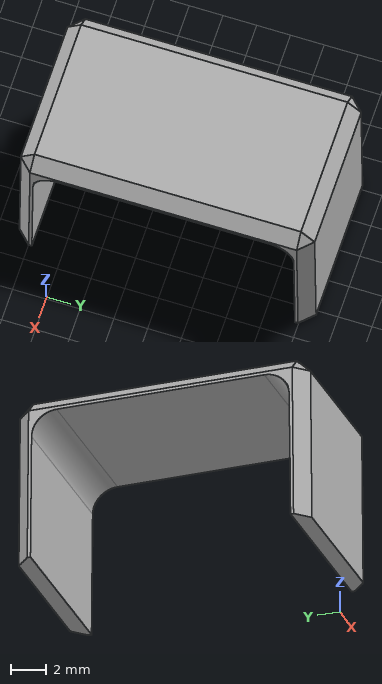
import cadquery as cq
import math

width = 10.16
length = 17.58
height = 10.1

wall = 1.0
draft_angle = 0.5
chamfer = 0.8
inner_radius = 1.5

draft_shift = height * math.tan(math.radians(draft_angle))


def tapered_block(bottom_length, top_length, block_height):
    """Block spanning the full width, with a trapezoid profile in the YZ plane."""
    return (
        cq.Workplane("YZ")
        .polyline([
            (-bottom_length / 2, 0),
            (bottom_length / 2, 0),
            (top_length / 2, block_height),
            (-top_length / 2, block_height),
        ])
        .close()
        .extrude(width / 2, both=True)
    )


body = tapered_block(length, length - 2 * draft_shift, height)
body = body.edges("not(<Z)").chamfer(chamfer)

channel_height = height - wall
channel_length = length - 2 * wall
channel_shift = channel_height * math.tan(math.radians(draft_angle))
channel = tapered_block(channel_length, channel_length - 2 * channel_shift, channel_height)
channel = channel.faces(">Z").edges("|X").fillet(inner_radius)

result = body.cut(channel)